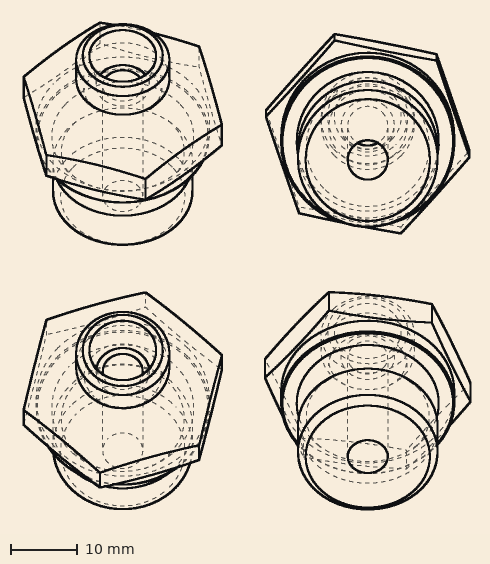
import cadquery as cq
import math

LENGTH = 33.0
STUD_SHOULDER_Z = 8.05
STUD_NECK_Z = 10.45
COLLAR_BOTTOM_Z = 14.0
HEX_BOTTOM_Z = 17.0
HEX_TOP_Z = 23.0
TUBE_SHOULDER_Z = 27.62

STUD_RADIUS = 20.95 / 2
STUD_CHAMFER = 1.15
STUD_NECK_RADIUS = 9.08
STUD_NECK_FILLET = 1.2
COLLAR_RADIUS = 26.0 / 2
COLLAR_CHAMFER = 0.2
COLLAR_CONE_RADIUS = 10.65

HEX_ACROSS_FLATS = 27.0
HEX_ACROSS_CORNERS = HEX_ACROSS_FLATS / math.cos(math.radians(30))
HEX_CHAMFER_ANGLE = 15.0

TUBE_RADIUS = 14.0 / 2
TUBE_CHAMFER = 1.0
TUBE_NECK_RADIUS = 11.7 / 2
TUBE_NECK_FILLET = 1.0
TUBE_RELIEF_FILLET = 0.8
RELIEF_ANGLE = 30.0

BORE_RADIUS = 6.0 / 2
SEAT_RADIUS = 8.0 / 2
MOUTH_RADIUS = 10.03 / 2
SOCKET_DEPTH = 7.0
SEAT_HALF_ANGLE = 12.0


def revolve(outline):
    """Turn a closed (radius, height) outline about the Z axis."""
    return outline.close().revolve(360, (0, 0, 0), (0, 1, 0))


def ring_edges(body, radius, height):
    """Select the circular edge with the given radius and height."""
    tolerance = 0.003
    box = cq.selectors.BoxSelector(
        (-radius - tolerance, -radius - tolerance, height - tolerance),
        (radius + tolerance, radius + tolerance, height + tolerance),
        boundingbox=True,
    )
    return body.edges(box)


def make_stud():
    """Chamfered stud, V-shaped undercut and sealing collar."""
    outline = (
        cq.Workplane("XZ")
        .lineTo(STUD_RADIUS - STUD_CHAMFER, 0)
        .lineTo(STUD_RADIUS, STUD_CHAMFER)
        .lineTo(STUD_RADIUS, STUD_SHOULDER_Z)
        .lineTo(STUD_NECK_RADIUS, STUD_NECK_Z)
        .lineTo(COLLAR_CONE_RADIUS, COLLAR_BOTTOM_Z)
        .lineTo(COLLAR_RADIUS - COLLAR_CHAMFER, COLLAR_BOTTOM_Z)
        .lineTo(COLLAR_RADIUS, COLLAR_BOTTOM_Z + COLLAR_CHAMFER)
        .lineTo(COLLAR_RADIUS, HEX_BOTTOM_Z)
        .lineTo(0, HEX_BOTTOM_Z)
    )
    stud = revolve(outline)
    return ring_edges(stud, STUD_NECK_RADIUS, STUD_NECK_Z).fillet(STUD_NECK_FILLET)


def make_hexagon():
    """Hexagon with corners on the Y axis and both faces turned to a cone."""
    height = HEX_TOP_Z - HEX_BOTTOM_Z
    prism = (
        cq.Workplane("XY", origin=(0, 0, HEX_BOTTOM_Z))
        .polygon(6, HEX_ACROSS_CORNERS)
        .extrude(height)
        .rotate((0, 0, 0), (0, 0, 1), 30)
    )
    flat_radius = HEX_ACROSS_FLATS / 2
    outer_radius = HEX_ACROSS_CORNERS
    drop = (outer_radius - flat_radius) * math.tan(math.radians(HEX_CHAMFER_ANGLE))
    envelope = revolve(
        cq.Workplane("XZ")
        .moveTo(0, HEX_BOTTOM_Z)
        .lineTo(flat_radius, HEX_BOTTOM_Z)
        .lineTo(outer_radius, HEX_BOTTOM_Z + drop)
        .lineTo(outer_radius, HEX_TOP_Z - drop)
        .lineTo(flat_radius, HEX_TOP_Z)
        .lineTo(0, HEX_TOP_Z)
    )
    return prism.intersect(envelope)


def make_tube_end():
    """Chamfered tube end with a necked relief above the hexagon."""
    relief_height = (TUBE_RADIUS - TUBE_NECK_RADIUS) / math.tan(math.radians(RELIEF_ANGLE))
    relief_z = TUBE_SHOULDER_Z - relief_height
    outline = (
        cq.Workplane("XZ")
        .moveTo(0, HEX_TOP_Z)
        .lineTo(TUBE_NECK_RADIUS, HEX_TOP_Z)
        .lineTo(TUBE_NECK_RADIUS, relief_z)
        .lineTo(TUBE_RADIUS, TUBE_SHOULDER_Z)
        .lineTo(TUBE_RADIUS, LENGTH - TUBE_CHAMFER)
        .lineTo(TUBE_RADIUS - TUBE_CHAMFER, LENGTH)
        .lineTo(0, LENGTH)
    )
    tube_end = revolve(outline)
    return ring_edges(tube_end, TUBE_NECK_RADIUS, relief_z).fillet(TUBE_RELIEF_FILLET)


def make_bore():
    """Through bore opening into a straight socket and conical tube seat."""
    seat_depth = (MOUTH_RADIUS - SEAT_RADIUS) / math.tan(math.radians(SEAT_HALF_ANGLE))
    seat_z = LENGTH - seat_depth
    socket_z = LENGTH - SOCKET_DEPTH
    return revolve(
        cq.Workplane("XZ")
        .lineTo(BORE_RADIUS, 0)
        .lineTo(BORE_RADIUS, socket_z)
        .lineTo(SEAT_RADIUS, socket_z)
        .lineTo(SEAT_RADIUS, seat_z)
        .lineTo(MOUTH_RADIUS, LENGTH)
        .lineTo(0, LENGTH)
    )


body = make_stud().union(make_hexagon()).union(make_tube_end())
body = ring_edges(body, TUBE_NECK_RADIUS, HEX_TOP_Z).fillet(TUBE_NECK_FILLET)
result = body.cut(make_bore())